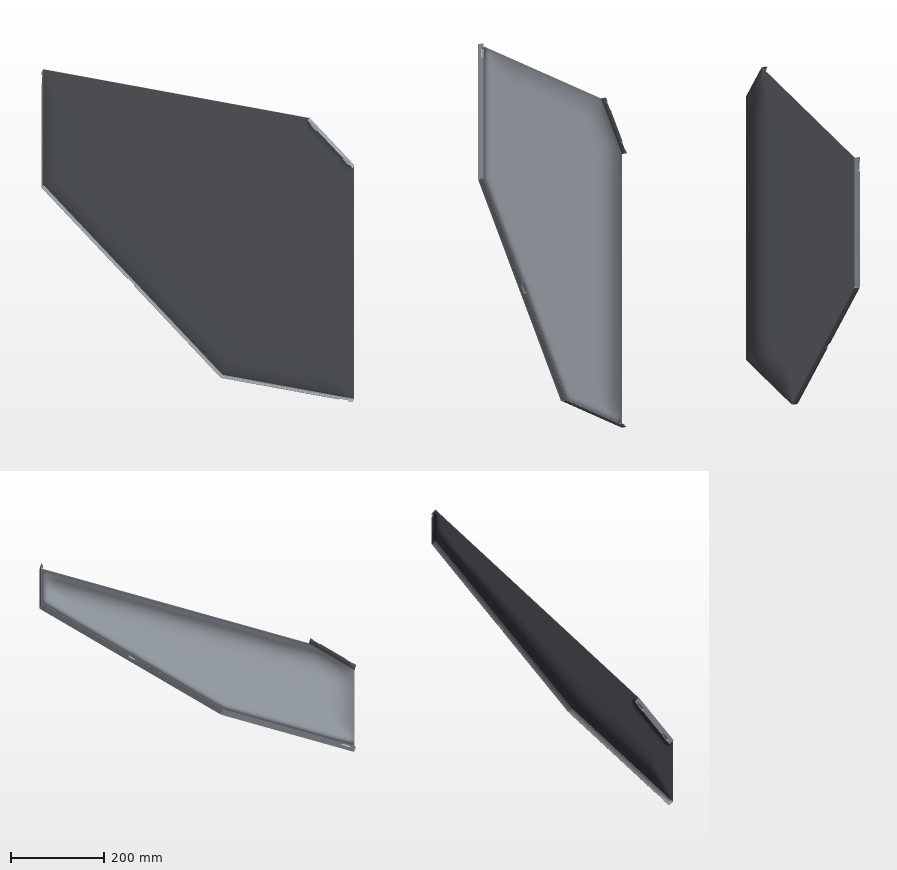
import math

import cadquery as cq


panel_size = 703.94
flange_depth = 12.5

sheet = 0.9
plain_edge = 702.88

outer_reach = (panel_size - plain_edge) / math.cos(math.radians(45))
inner_reach = outer_reach - sheet

lower_cut = 404.75
upper_cut = 102.0

dimple_length = 22.0
dimple_height = 5.0
dimple_depth = 2.5
dimple_end_distance = 20.5

low = outer_reach
high = plain_edge
left_bottom = (low, low + lower_cut)
left_top = (low, high)
upper_left = (high - upper_cut, high)
upper_right = (high, high - upper_cut)
right_bottom = (high, low)
bottom_left = (low + lower_cut, low)


def make_flat_sheet():
    corners = [left_bottom, left_top, upper_left, upper_right, right_bottom, bottom_left]
    return cq.Workplane("XZ").polyline(corners).close().extrude(sheet)


def section_plane(start, end, distance):
    """Plane across a flange, at a distance from its start.

    With corners that run clockwise in (x, z), local x points out of the panel and local y
    along -Y.
    """
    length = math.dist(start, end)
    along_x = (end[0] - start[0]) / length
    along_z = (end[1] - start[1]) / length
    origin = (start[0] + along_x * distance, 0, start[1] + along_z * distance)
    return cq.Plane(origin=origin, xDir=(-along_z, 0, along_x), normal=(along_x, 0, along_z))


def make_flange(start, end):
    """L-shaped strip along the whole edge, from the fold line to the free edge."""
    profile = [
        (0, 0),
        (outer_reach, 0),
        (outer_reach, flange_depth),
        (inner_reach, flange_depth),
        (inner_reach, sheet),
        (0, sheet),
    ]
    plane = section_plane(start, end, 0)
    return cq.Workplane(plane).polyline(profile).close().extrude(math.dist(start, end))


def rectangle_on_edge(length, height):
    half = length / 2
    return [(-half, 0), (half, 0), (half, height), (-half, height)]


def make_dimple_block(start, end, centre, reach):
    """Block that stands on the free edge and narrows into the panel from the given reach."""
    across = section_plane(start, end, centre)
    inward = cq.Plane(
        origin=across.toWorldCoords((reach, flange_depth, 0)),
        xDir=across.zDir * -1,
        normal=across.xDir * -1,
    )
    base = rectangle_on_edge(dimple_length, dimple_height)
    tip = rectangle_on_edge(dimple_length - 2 * dimple_depth, dimple_height - dimple_depth)
    return (
        cq.Workplane(inward)
        .polyline(base)
        .close()
        .workplane(offset=dimple_depth)
        .polyline(tip)
        .close()
        .loft(ruled=True)
    )


def make_dimpled_flange(start, end, centres):
    """Flange with dimples: each is a bump on its inner face, hollowed from its outer face."""
    flange = make_flange(start, end)
    for centre in centres:
        flange = flange.union(make_dimple_block(start, end, centre, inner_reach))
        flange = flange.cut(make_dimple_block(start, end, centre, outer_reach))
    return flange


left_length = math.dist(left_bottom, left_top)
upper_length = math.dist(upper_left, upper_right)
lower_length = math.dist(bottom_left, left_bottom)

flanges = [
    (left_bottom, left_top, [left_length - dimple_end_distance]),
    (upper_left, upper_right, [dimple_end_distance, upper_length - dimple_end_distance]),
    (right_bottom, bottom_left, [dimple_end_distance]),
    (bottom_left, left_bottom, [lower_length / 2]),
]

result = make_flat_sheet()
for start, end, centres in flanges:
    result = result.union(make_dimpled_flange(start, end, centres))